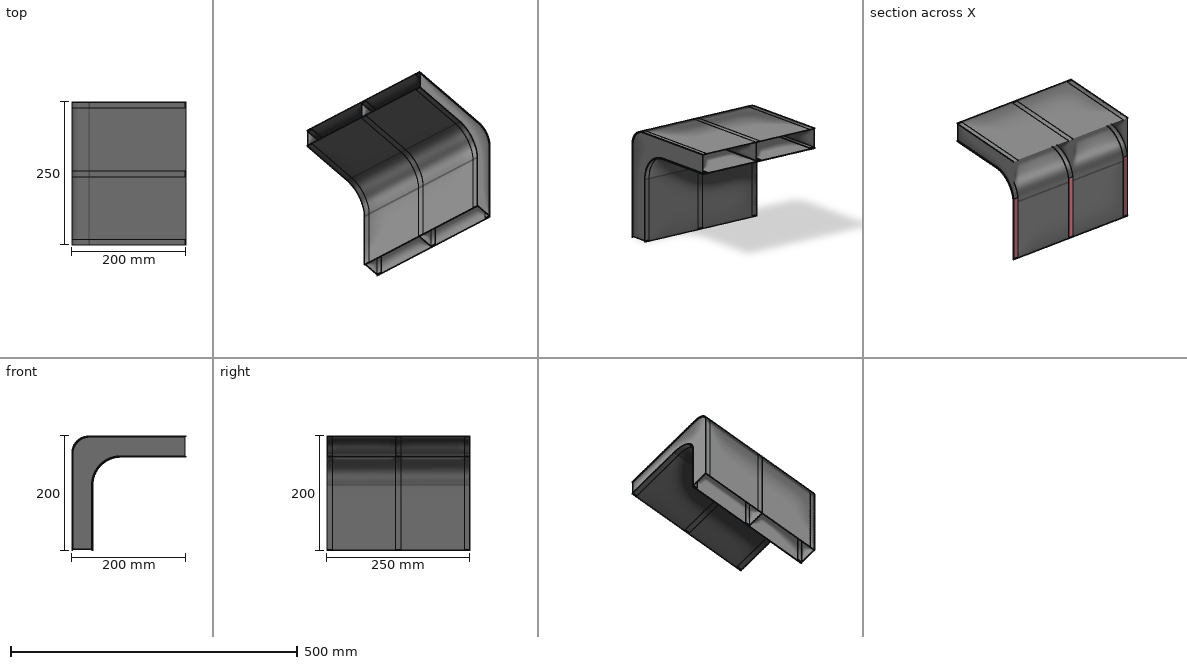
import cadquery as cq
import math

leg_length = 200.0
panel_width = 250.0
panel_thickness = 37.0

outer_skin_thickness = 1.0
outer_skin_radius = 30.0

inner_skin_thickness = 1.4
inner_skin_radius = 48.6

rib_width = 10.0
rib_sheet_thickness = 1.0
rib_outer_radius = 30.0
rib_end_setback = 2.0
middle_rib_offset = 0.5

rib_outer_depth = outer_skin_thickness
rib_inner_depth = panel_thickness - inner_skin_thickness
rib_inner_radius = inner_skin_radius + inner_skin_thickness
rib_leg_end = leg_length - rib_end_setback

rib_places = [
    (0, False),
    ((panel_width - rib_width) / 2 - middle_rib_offset, False),
    (panel_width - rib_width, True),
]


def bend_points(depth, radius):
    """Start, middle and end (X, Z) of a bend, from the standing leg to the top leg."""
    centre_x = depth + radius
    centre_z = leg_length - depth - radius
    reach = radius * math.sqrt(0.5)
    start = (depth, centre_z)
    middle = (centre_x - reach, centre_z + reach)
    end = (centre_x, leg_length - depth)
    return start, middle, end


def corner_band(outer_depth, outer_radius, inner_depth, inner_radius, leg_end, width):
    """L-shaped solid between two depths below the outer face, from Y = 0 to Y = width.

    The outer faces of the panel lie at X = 0 and Z = leg_length.
    The legs end at X = leg_end and at Z = leg_length - leg_end.
    """
    outer_start, outer_middle, outer_end = bend_points(outer_depth, outer_radius)
    inner_start, inner_middle, inner_end = bend_points(inner_depth, inner_radius)
    foot_z = leg_length - leg_end
    return (
        cq.Workplane("XZ")
        .moveTo(outer_depth, foot_z)
        .lineTo(*outer_start)
        .threePointArc(outer_middle, outer_end)
        .lineTo(leg_end, leg_length - outer_depth)
        .lineTo(leg_end, leg_length - inner_depth)
        .lineTo(*inner_end)
        .threePointArc(inner_middle, inner_start)
        .lineTo(inner_depth, foot_z)
        .close()
        .extrude(-width)
    )


def make_outer_skin():
    """Bent sheet on the convex side."""
    return corner_band(
        0,
        outer_skin_radius,
        outer_skin_thickness,
        outer_skin_radius - outer_skin_thickness,
        leg_length,
        panel_width,
    )


def make_inner_skin():
    """Bent sheet on the concave side."""
    return corner_band(
        rib_inner_depth,
        rib_inner_radius,
        panel_thickness,
        inner_skin_radius,
        leg_length,
        panel_width,
    )


def make_rib():
    """Channel with its web at Y = 0 and flanges along both skins, open toward +Y and at its ends."""
    blank = corner_band(
        rib_outer_depth,
        rib_outer_radius,
        rib_inner_depth,
        rib_inner_radius,
        rib_leg_end,
        rib_width,
    )
    hollow = corner_band(
        rib_outer_depth + rib_sheet_thickness,
        rib_outer_radius - rib_sheet_thickness,
        rib_inner_depth - rib_sheet_thickness,
        rib_inner_radius + rib_sheet_thickness,
        rib_leg_end,
        rib_width - rib_sheet_thickness,
    )
    return blank.cut(hollow.translate((0, rib_sheet_thickness, 0)))


def place_rib(start_y, turned):
    """Rib with its -Y side at start_y; a turned rib has its web on the +Y side."""
    rib = make_rib()
    if turned:
        rib = rib.mirror("XZ").translate((0, rib_width, 0))
    return rib.translate((0, start_y, 0))


outer_skin = make_outer_skin()
inner_skin = make_inner_skin()
ribs = [place_rib(start_y, turned) for start_y, turned in rib_places]

result = cq.Compound.makeCompound(
    [outer_skin.val(), inner_skin.val(), *[rib.val() for rib in ribs]]
)